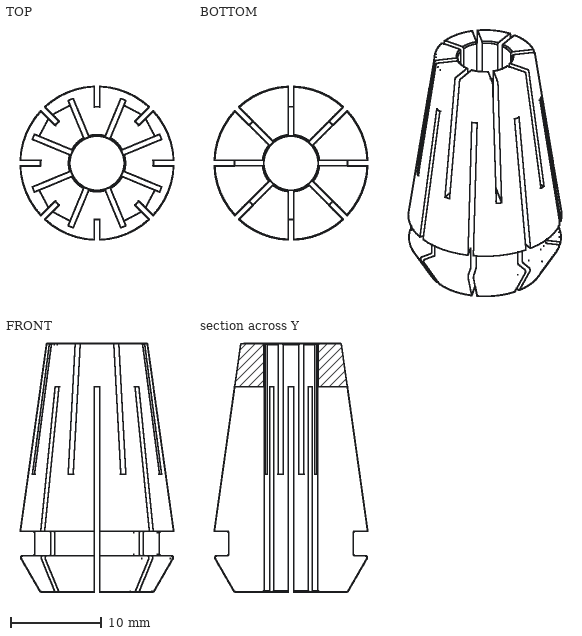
import cadquery as cq
import math

LENGTH = 27.5
MAX_DIAMETER = 17.0
BORE_DIAMETER = 6.0

TAPER_HALF_ANGLE = 8.0
TAPER_BOTTOM_Z = 6.7

GROOVE_DIAMETER = 13.8
FLANGE_TOP_Z = 4.02
NOSE_HALF_ANGLE = 30.0
NOSE_BOTTOM_RADIUS = 6.27

END_ROUND = 0.2
FLANGE_ROUND = 0.22
GROOVE_ROUND = 0.16
BORE_CHAMFER = 0.16

SLOT_COUNT = 8
SLOT_WIDTH = 0.6
NOSE_SLOT_TOP_Z = 22.7
REAR_SLOT_FLOOR_Z = 13.0
SLOT_OVERRUN = 0.28

max_radius = MAX_DIAMETER / 2
bore_radius = BORE_DIAMETER / 2
groove_radius = GROOVE_DIAMETER / 2
taper_height = LENGTH - TAPER_BOTTOM_Z
rear_radius = max_radius - taper_height * math.tan(math.radians(TAPER_HALF_ANGLE))
flange_radius = NOSE_BOTTOM_RADIUS + FLANGE_TOP_Z * math.tan(math.radians(NOSE_HALF_ANGLE))


def circle_edge(body, radius, z):
    """Select the full circular edge of the given radius at height z."""
    def is_match(edge):
        same_height = abs(edge.Center().z - z) < 0.0003
        return same_height and abs(edge.radius() - radius) < 0.0003

    circles = body.edges("%CIRCLE").vals()
    return body.newObject([edge for edge in circles if is_match(edge)])


def make_body():
    """Revolve the collet wall, then round and chamfer its circular edges."""
    wall = [
        (bore_radius, 0),
        (NOSE_BOTTOM_RADIUS, 0),
        (flange_radius, FLANGE_TOP_Z),
        (groove_radius, FLANGE_TOP_Z),
        (groove_radius, TAPER_BOTTOM_Z),
        (max_radius, TAPER_BOTTOM_Z),
        (rear_radius, LENGTH),
        (bore_radius, LENGTH),
    ]
    body = cq.Workplane("XZ").polyline(wall).close().revolve(360, (0, 0, 0), (0, 1, 0))

    rounded_edges = [
        (NOSE_BOTTOM_RADIUS, 0, END_ROUND),
        (rear_radius, LENGTH, END_ROUND),
        (flange_radius, FLANGE_TOP_Z, FLANGE_ROUND),
        (groove_radius, FLANGE_TOP_Z, GROOVE_ROUND),
        (groove_radius, TAPER_BOTTOM_Z, GROOVE_ROUND),
    ]
    for radius, z, size in rounded_edges:
        body = circle_edge(body, radius, z).fillet(size)

    for z in (0, LENGTH):
        body = circle_edge(body, bore_radius, z).chamfer(BORE_CHAMFER)
    return body


def make_slots(bottom_z, top_z, start_angle):
    """Ring of radial slots that run from the bore out through the wall."""
    slot_length = max_radius + SLOT_OVERRUN
    slot = cq.Workplane("XY").workplane(offset=bottom_z).box(
        slot_length, SLOT_WIDTH, top_z - bottom_z, centered=(False, True, False)
    )
    pitch = 360 / SLOT_COUNT
    slots = cq.Workplane("XY")
    for index in range(SLOT_COUNT):
        slots = slots.add(slot.rotate((0, 0, 0), (0, 0, 1), start_angle + index * pitch))
    return slots.combine()


nose_slots = make_slots(-SLOT_OVERRUN, NOSE_SLOT_TOP_Z, 0)

rear_slots = make_slots(REAR_SLOT_FLOOR_Z, LENGTH + SLOT_OVERRUN, 180 / SLOT_COUNT)

result = make_body().cut(nose_slots).cut(rear_slots)